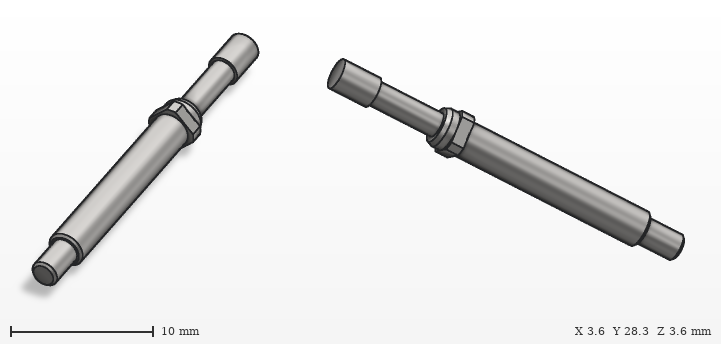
import cadquery as cq


head_diameter = 2.3
head_length = 3.0
neck_diameter = 1.85
neck_length = 5.3

collar_diameter = 2.98
collar_length = 1.0
collar_taper_length = 0.4
collar_taper_depth = 0.17

flange_diameter = 3.6
flange_across_flats = 3.0
flange_thickness = 1.0
flange_turn = 45.0

barrel_diameter = 2.7
barrel_length = 15.0
barrel_chamfer = 0.2
tail_diameter = 2.0
tail_length = 3.0
tail_chamfer = 0.2

barrel_end = -barrel_length
tail_end = barrel_end - tail_length
collar_start = flange_thickness
collar_end = collar_start + collar_length
neck_end = collar_end + neck_length
head_end = neck_end + head_length


def make_turned_body():
    """Revolve the half profile of the plunger, collar, barrel and tail."""
    head_radius = head_diameter / 2
    neck_radius = neck_diameter / 2
    collar_radius = collar_diameter / 2
    barrel_radius = barrel_diameter / 2
    tail_radius = tail_diameter / 2
    profile = [
        (0, tail_end),
        (tail_radius - tail_chamfer, tail_end),
        (tail_radius, tail_end + tail_chamfer),
        (tail_radius, barrel_end),
        (barrel_radius - barrel_chamfer, barrel_end),
        (barrel_radius, barrel_end + barrel_chamfer),
        (barrel_radius, collar_start),
        (collar_radius, collar_start),
        (collar_radius, collar_end - collar_taper_length),
        (collar_radius - collar_taper_depth, collar_end),
        (neck_radius, collar_end),
        (neck_radius, neck_end),
        (head_radius, neck_end),
        (head_radius, head_end),
        (0, head_end),
    ]
    return cq.Workplane("XY").polyline(profile).close().revolve(360, (0, 0, 0), (0, 1, 0))


def make_flange():
    """Intersect a disc with a square bar turned to stand on its corner."""
    disc = cq.Workplane("XZ").circle(flange_diameter / 2).extrude(-flange_thickness)
    bar = cq.Workplane("XZ").rect(flange_across_flats, flange_across_flats).extrude(-flange_thickness)
    bar = bar.rotate((0, 0, 0), (0, 1, 0), flange_turn)
    return disc.intersect(bar)


result = make_turned_body().union(make_flange())